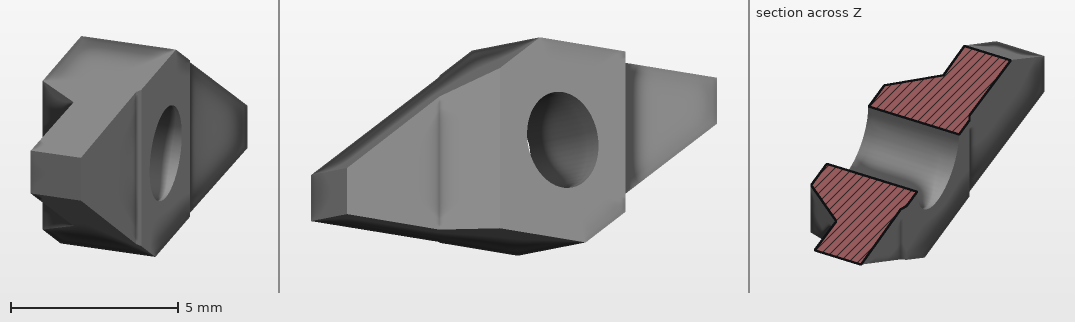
import cadquery as cq
import math

THICKNESS = 3.0
LENGTH = 15.0
HEIGHT = 6.0

TIP_HEIGHT = 1.4
SLOPE_ANGLE = 35.0
HOLE_DIAMETER = 2.9

TIP_FRONT_SETBACK = 1.36
TIP_BACK_SETBACK = 0.05
WING_CLEARANCE_ANGLE = 0.5

FRONT_BLOCK_HALF_LENGTH = 2.55
FRONT_WING_START = 3.725

BACK_PAD_HALF_LENGTH = 2.2
BACK_WING_START = 2.4

half_length = LENGTH / 2
half_height = HEIGHT / 2
front_x = -THICKNESS / 2
back_x = THICKNESS / 2


def side_outline_prism():
    """Six-sided outline in the YZ plane, unchanged by a half turn about X."""
    tip_edge_z = half_height - TIP_HEIGHT
    slope_run = (HEIGHT - TIP_HEIGHT) / math.tan(math.radians(SLOPE_ANGLE))
    slope_end_y = half_length - slope_run
    return (
        cq.Workplane("YZ", origin=(front_x, 0, 0))
        .moveTo(-half_length, half_height)
        .lineTo(slope_end_y, half_height)
        .lineTo(half_length, -tip_edge_z)
        .lineTo(half_length, -half_height)
        .lineTo(-slope_end_y, -half_height)
        .lineTo(-half_length, tip_edge_z)
        .close()
        .extrude(THICKNESS)
    )


def plan_outline_prism():
    """Thickness profile in the XY plane, mirrored about Y = 0."""
    clearance_slope = math.tan(math.radians(WING_CLEARANCE_ANGLE))
    front_tip_x = front_x + TIP_FRONT_SETBACK
    front_root_x = front_tip_x + (half_length - FRONT_WING_START) * clearance_slope
    back_tip_x = back_x - TIP_BACK_SETBACK
    back_root_x = back_tip_x - (half_length - BACK_WING_START) * clearance_slope
    front_half = [
        (front_x, FRONT_BLOCK_HALF_LENGTH),
        (front_root_x, FRONT_WING_START),
        (front_tip_x, half_length),
    ]
    back_half = [
        (back_tip_x, half_length),
        (back_root_x, BACK_WING_START),
        (back_x, BACK_PAD_HALF_LENGTH),
    ]
    upper_half = front_half + back_half
    lower_half = [(x, -y) for x, y in reversed(upper_half)]
    return (
        cq.Workplane("XY", origin=(0, 0, -half_height))
        .polyline(upper_half + lower_half)
        .close()
        .extrude(HEIGHT)
    )


def clamp_hole():
    """Round hole through the full thickness, centred on the part."""
    return cq.Workplane("YZ", origin=(front_x, 0, 0)).circle(HOLE_DIAMETER / 2).extrude(THICKNESS)


result = side_outline_prism().intersect(plan_outline_prism()).cut(clamp_hole())